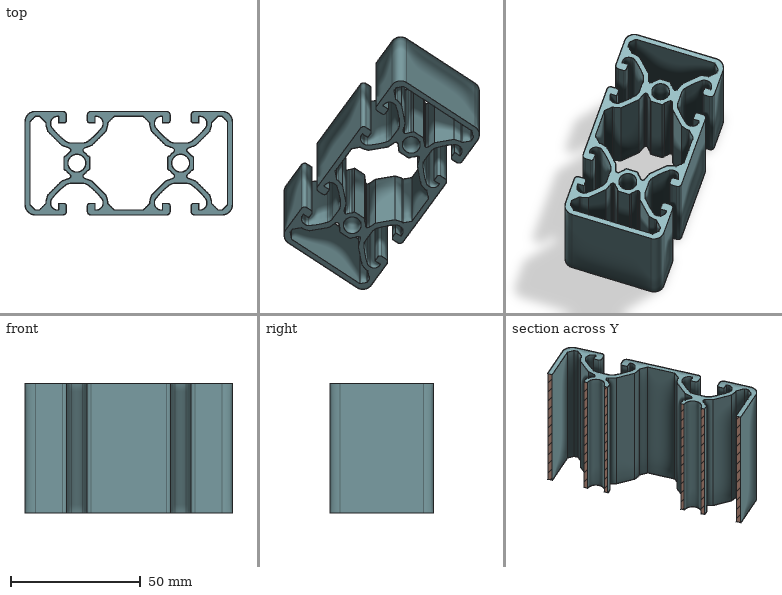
import cadquery as cq
import math

cell_size = 40.0
length = 50.0
half_cell = cell_size / 2
width = 2 * cell_size
corner_radius = 4.0

skin = 2.0
skin_inner = half_cell - skin

bore_diameter = 6.8
boss_half_width = 5.0
neck_half_width = 2.4
neck_bottom = 4.75
neck_top = 5.3
neck_bevel = 0.5
boss_shoulder = [(boss_half_width, 2.3), (4.62, 2.67), (4.12, 2.92), (3.43, 3.73), (2.75, 4.25)]

slot_half_opening = 4.0
lip_width = 3.0
lip_height = 4.5
lip_outer_radius = 1.5
lip_inner_radius = 1.0
slot_floor = 7.8
floor_half_width = 2.15
floor_radius = 3.8
undercut_side = 10.05
undercut_top_radius = 2.5
undercut_bottom_radius = 2.0
web_turn = math.radians(15)

corner_bevel = 2.0
skin_bevel_start = 14.4
bend_x = 11.95
bend_upper = 14.7
bend_lower = 12.3
web_chamber_offset = 1.05
web_foot_x = 5.8

lip_back = slot_half_opening + lip_width
lip_bottom = half_cell - lip_height
bend_top = skin_inner - (skin_bevel_start - bend_x)
neck_corner = (neck_half_width + neck_bevel, neck_top + neck_bevel)


def extrude(sketch):
    return sketch.close().extrude(length)


def slot_half():
    """Half of a T-slot void, on the +X side of the slot's centre plane."""
    arc_angle = math.pi / 4 - web_turn / 2
    arc_run = math.sin(arc_angle)
    arc_rise = 1 - math.cos(arc_angle)
    web_start_x = floor_half_width + floor_radius * arc_run
    web_start_y = slot_floor + floor_radius * arc_rise
    web_end_x = undercut_side - undercut_bottom_radius * arc_rise
    web_end_y = web_start_y + web_end_x - web_start_x
    web_length = math.hypot(web_end_x - web_start_x, web_end_y - web_start_y)
    web_radius = web_length / (2 * math.sin(web_turn / 2))
    undercut_bottom = web_end_y + undercut_bottom_radius * arc_run
    undercut_top_start = skin_inner - undercut_top_radius
    mouth_x = slot_half_opening + lip_outer_radius
    void = (
        cq.Workplane("XY")
        .moveTo(0, slot_floor)
        .lineTo(floor_half_width, slot_floor)
        .radiusArc((web_start_x, web_start_y), -floor_radius)
        .radiusArc((web_end_x, web_end_y), -web_radius)
        .radiusArc((undercut_side, undercut_bottom), -undercut_bottom_radius)
        .lineTo(undercut_side, undercut_top_start)
        .radiusArc((undercut_side - undercut_top_radius, skin_inner), -undercut_top_radius)
        .lineTo(lip_back, skin_inner)
        .lineTo(lip_back, lip_bottom)
        .lineTo(slot_half_opening + lip_inner_radius, lip_bottom)
        .radiusArc((slot_half_opening, lip_bottom + lip_inner_radius), lip_inner_radius)
        .lineTo(slot_half_opening, half_cell - lip_outer_radius)
        .radiusArc((mouth_x, half_cell), lip_outer_radius)
        .lineTo(0, half_cell)
    )
    return extrude(void)


def chamber_half(far_points):
    """Half of a chamber void (+Y side) on the +X side of a cell; far_points close it away from the boss."""
    outline = [
        (boss_half_width, 0),
        *boss_shoulder,
        (neck_half_width, neck_bottom),
        (neck_half_width, neck_top),
        neck_corner,
        (web_foot_x, web_foot_x + web_chamber_offset),
        (bend_lower - web_chamber_offset, bend_lower),
        (bend_x, bend_upper),
        (bend_x, bend_top),
        (skin_bevel_start, skin_inner),
        *far_points,
    ]
    return extrude(cq.Workplane("XY").polyline(outline))


def mirrored_y(half):
    return half.union(half.mirror("XZ"))


def cell_voids():
    """All voids of the +X cell, centred on the origin: the outer side is +X, the shared side is -X."""
    outer_end = [
        (skin_inner - corner_bevel, skin_inner),
        (skin_inner, skin_inner - corner_bevel),
        (skin_inner, 0),
    ]
    shared_end = [(half_cell, skin_inner), (half_cell, 0)]
    slot = slot_half()
    slots = mirrored_y(slot.union(slot.mirror("YZ")))
    outer_chamber = mirrored_y(chamber_half(outer_end))
    shared_chamber = mirrored_y(chamber_half(shared_end)).mirror("YZ")
    bore = cq.Workplane("XY").circle(bore_diameter / 2).extrude(length)
    return slots.union(outer_chamber).union(shared_chamber).union(bore)


def build_profile():
    bar = (
        cq.Workplane("XY")
        .rect(width, cell_size)
        .extrude(length)
        .edges("|Z")
        .fillet(corner_radius)
    )
    right_cell = cell_voids().translate((half_cell, 0, 0))
    left_cell = right_cell.mirror("YZ")
    return bar.cut(right_cell.union(left_cell)).clean()


result = build_profile()